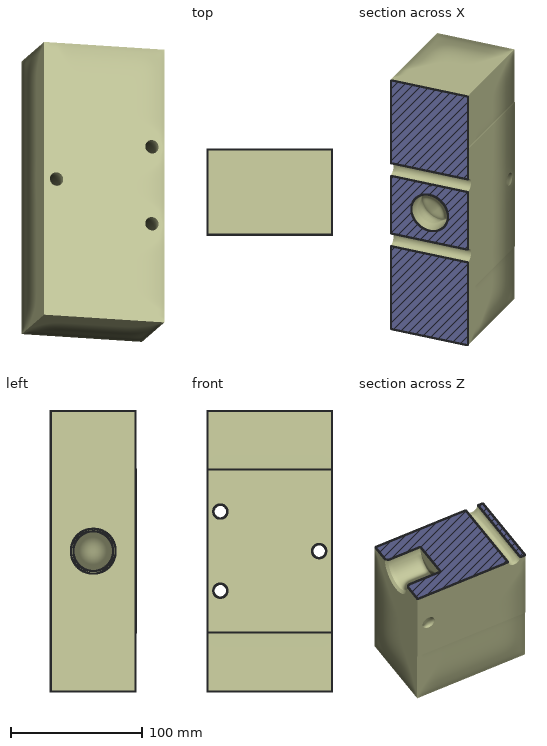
import cadquery as cq

width = 95.0
depth = 65.0
height = 214.0

body_height = 124.1
body_proud = 0.2
cap_height = (height - body_height) / 2
cap_depth = depth - body_proud

mount_diameter = 10.5
mount_x = 37.7
mount_z = 30.2

port_diameter = 30.4
port_mouth_diameter = 34.2
port_depth = 30.0
port_chamfer = (port_mouth_diameter - port_diameter) / 2

back_y = depth / 2


def block(block_depth, block_height, center_z):
    """Full-width block whose back face lies on the common back plane."""
    center_y = back_y - block_depth / 2
    return cq.Workplane("XY").box(width, block_depth, block_height).translate((0, center_y, center_z))


result = block(depth, body_height, 0)
for side in (-1, 1):
    cap_z = side * (body_height + cap_height) / 2
    result = result.union(block(cap_depth, cap_height, cap_z))

mount_points = [(-mount_x, -mount_z), (-mount_x, mount_z), (mount_x, 0)]
mount_holes = (
    cq.Workplane("XZ", origin=(0, back_y, 0))
    .pushPoints(mount_points)
    .circle(mount_diameter / 2)
    .extrude(depth)
)
result = result.cut(mount_holes)

port_plane = cq.Workplane("YZ", origin=(-width / 2, 0, 0))
port = port_plane.circle(port_diameter / 2).extrude(port_depth)
port_mouth = (
    port_plane.circle(port_mouth_diameter / 2)
    .workplane(offset=port_chamfer)
    .circle(port_diameter / 2)
    .loft()
)
result = result.cut(port).cut(port_mouth)